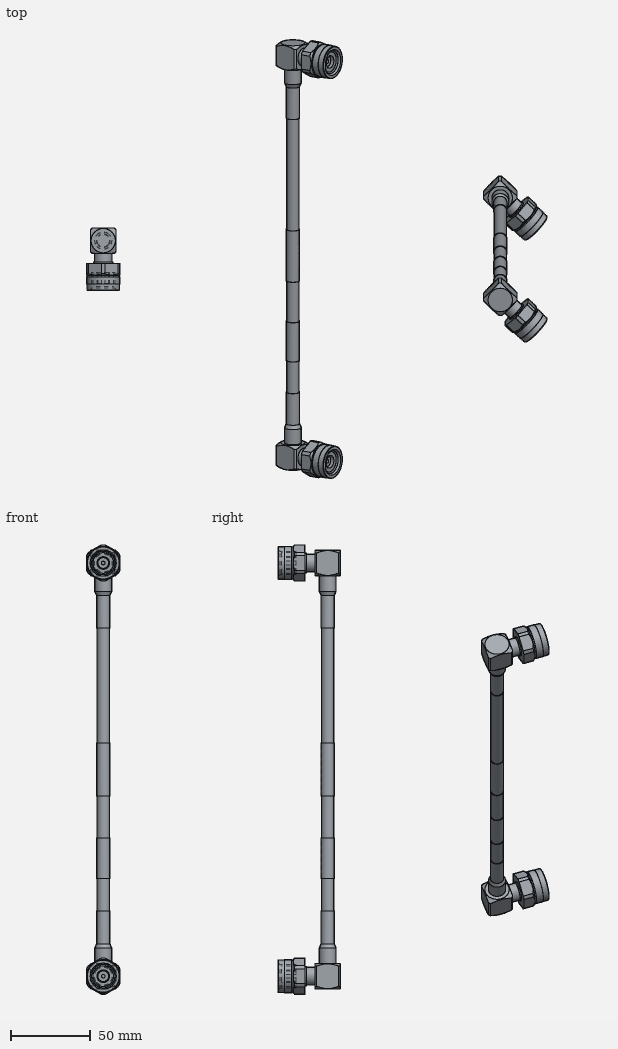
import cadquery as cq
import math

total_height = 281.5
total_depth = 39.0

nut_flats = 20.8
nut_corner_diameter = 22.8
nut_lip_y = 4.0
nut_lip_step = 0.15
nut_rim_chamfer = 0.3
barrel_rear_y = 8.5
groove_depth = 0.3
hex_front_y = 9.3
hex_rear_y = 17.0
hex_chamfer_length = 1.0
collar_radius = 6.2
collar_length = 0.8
neck_radius = 5.5

mouth_radius = 8.2
recess_radius = 7.3
mouth_taper_length = 1.5
recess_depth = 11.3
sleeve_radius = 6.5
sleeve_bore_radius = 4.0
sleeve_front_y = 2.3
contact_radius = 3.5
contact_hole_radius = 1.0
contact_front_y = 4.2

block_size = 16.0
block_edge_chamfer = 1.0
block_face_radius = 7.5
block_cone_angle = 30.0

ferrule_radius = 5.3
ferrule_taper_offset = 17.7
ferrule_end_offset = 20.3

cable_radius = 4.0
cable_end_radius = 4.2
cable_end_inner_z = 88.6
marker_radius = 4.2
centre_marker_length = 33.2
lower_marker_length = 25.3
lower_marker_z = -55.5

nut_corner_radius = nut_corner_diameter / 2
barrel_radius = nut_flats / 2
connector_z = total_height / 2 - nut_corner_radius
cable_y = total_depth - block_size / 2
cable_half_length = connector_z - ferrule_end_offset


def make_turned(profile):
    """Solid of revolution about the Y axis from (radius, y) points."""
    return cq.Workplane("XY").polyline(profile).close().revolve(360, (0, 0, 0), (0, 1, 0))


def make_cylinder(radius, z_low, z_high):
    """Cylinder on the cable axis."""
    return cq.Workplane("XY", origin=(0, cable_y, z_low)).circle(radius).extrude(z_high - z_low)


def make_nut_barrel():
    """Round front of the nut with its lip, rim chamfer and rear groove."""
    lip_radius = barrel_radius - nut_lip_step
    groove_radius = barrel_radius - groove_depth
    return make_turned([
        (0, 0),
        (lip_radius - nut_rim_chamfer, 0),
        (lip_radius, nut_rim_chamfer),
        (lip_radius, nut_lip_y),
        (barrel_radius, nut_lip_y),
        (barrel_radius, barrel_rear_y),
        (groove_radius, barrel_rear_y),
        (groove_radius, hex_front_y),
        (0, hex_front_y),
    ])


def make_nut_hex():
    """Hexagon with flats facing X, its corners turned round and chamfered in front."""
    across_corners = nut_flats / math.cos(math.radians(30))
    hexagon = (
        cq.Workplane("XZ", origin=(0, hex_front_y, 0))
        .transformed(rotate=(0, 0, 30))
        .polygon(6, across_corners)
        .extrude(hex_front_y - hex_rear_y)
    )
    envelope = make_turned([
        (0, hex_front_y),
        (barrel_radius - groove_depth, hex_front_y),
        (nut_corner_radius, hex_front_y + hex_chamfer_length),
        (nut_corner_radius, hex_rear_y),
        (0, hex_rear_y),
    ])
    return hexagon.intersect(envelope)


def make_neck():
    """Collar behind the hexagon and the neck that runs into the block."""
    return make_turned([
        (0, hex_rear_y),
        (collar_radius, hex_rear_y),
        (collar_radius, hex_rear_y + collar_length),
        (neck_radius, hex_rear_y + collar_length),
        (neck_radius, cable_y),
        (0, cable_y),
    ])


def make_recess():
    """Recess of the mating end, leaving the contact sleeve and the hollow centre contact."""
    mouth = make_turned([
        (0, 0),
        (mouth_radius, 0),
        (recess_radius, mouth_taper_length),
        (recess_radius, recess_depth),
        (0, recess_depth),
    ])
    sleeve = make_turned([
        (sleeve_bore_radius, sleeve_front_y),
        (sleeve_radius, sleeve_front_y),
        (sleeve_radius, recess_depth),
        (sleeve_bore_radius, recess_depth),
    ])
    contact = make_turned([
        (contact_hole_radius, contact_front_y),
        (contact_radius, contact_front_y),
        (contact_radius, recess_depth),
        (contact_hole_radius, recess_depth),
    ])
    return mouth.cut(sleeve).cut(contact)


def make_block():
    """Cube with chamfered upright edges and conical chamfers around its end faces."""
    half = block_size / 2
    cone_rise = math.tan(math.radians(block_cone_angle))
    envelope_radius = block_size
    cone_edge = half - (envelope_radius - block_face_radius) * cone_rise
    cube = (
        cq.Workplane("XY")
        .box(block_size, block_size, block_size)
        .edges("|Z")
        .chamfer(block_edge_chamfer)
    )
    envelope = (
        cq.Workplane("XZ")
        .polyline([
            (0, -half),
            (block_face_radius, -half),
            (envelope_radius, -cone_edge),
            (envelope_radius, cone_edge),
            (block_face_radius, half),
            (0, half),
        ])
        .close()
        .revolve(360, (0, 0, 0), (0, 1, 0))
    )
    return cube.intersect(envelope).translate((0, cable_y, 0))


def make_ferrule():
    """Crimp ferrule under the block, tapering down to the cable end."""
    return (
        cq.Workplane("XZ", origin=(0, cable_y, 0))
        .polyline([
            (0, 0),
            (ferrule_radius, 0),
            (ferrule_radius, -ferrule_taper_offset),
            (cable_end_radius, -ferrule_end_offset),
            (0, -ferrule_end_offset),
        ])
        .close()
        .revolve(360, (0, 0, 0), (0, 1, 0))
    )


def make_connector(end):
    """Right-angle connector at the upper (end = 1) or lower (end = -1) end of the cable."""
    connector = (
        make_nut_barrel()
        .union(make_nut_hex())
        .union(make_neck())
        .union(make_block())
        .union(make_ferrule())
        .cut(make_recess())
    )
    if end < 0:
        connector = connector.rotate((0, 0, 0), (0, 1, 0), 180)
    return connector.translate((0, 0, end * connector_z))


def make_cable():
    """Cable with a thicker jacket where it meets each ferrule."""
    return (
        make_cylinder(cable_radius, -cable_half_length, cable_half_length)
        .union(make_cylinder(cable_end_radius, cable_end_inner_z, cable_half_length))
        .union(make_cylinder(cable_end_radius, -cable_half_length, -cable_end_inner_z))
    )


def make_marker(centre_z, length):
    """Marker sleeve fitted around the cable."""
    z_low = centre_z - length / 2
    z_high = centre_z + length / 2
    return make_cylinder(marker_radius, z_low, z_high).cut(make_cylinder(cable_radius, z_low, z_high))


connectors = [make_connector(end) for end in (1, -1)]
cable = make_cable()
marker_spans = [(0, centre_marker_length), (lower_marker_z, lower_marker_length)]
markers = [make_marker(centre_z, length) for centre_z, length in marker_spans]

result = cq.Compound.makeCompound([
    cable.val(),
    *[connector.val() for connector in connectors],
    *[marker.val() for marker in markers],
])